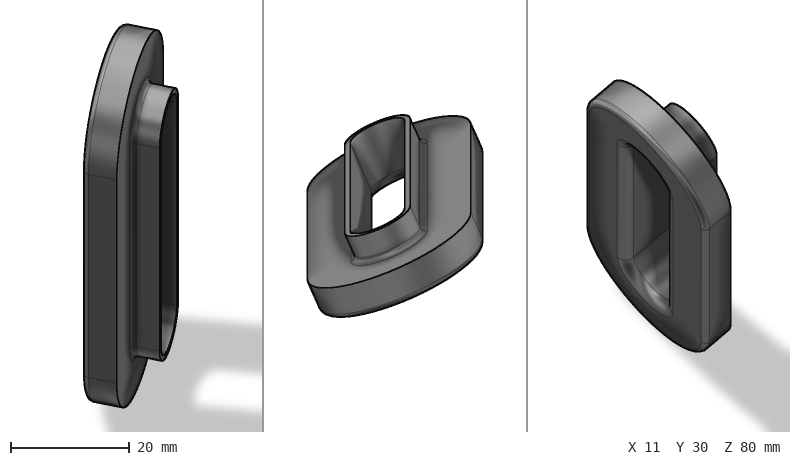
import cadquery as cq

length = 80.0
flange_width = 30.0
total_depth = 11.0
flange_depth = 6.0

center_distance = length - flange_width
collar_width = 12.0
slot_width = 10.0

slot_mouth_radius = 2.0
edge_radius = slot_mouth_radius / 2


def obround(width, depth):
    """Obround prism standing on X = 0 and reaching to X = depth."""
    return (
        cq.Workplane("YZ")
        .slot2D(center_distance + width, width, 90)
        .extrude(depth)
    )


flange = obround(flange_width, flange_depth).faces("<X").edges().fillet(edge_radius)

body = flange.union(obround(collar_width, total_depth))
flange_back = body.faces("+X").faces("<X")
collar_root = flange_back.val().innerWires()[0].Edges()
body = body.newObject(collar_root).fillet(edge_radius)

body = body.cut(obround(slot_width, total_depth))
slot_mouth = body.faces("<X").val().innerWires()[0].Edges()
result = body.newObject(slot_mouth).fillet(slot_mouth_radius)